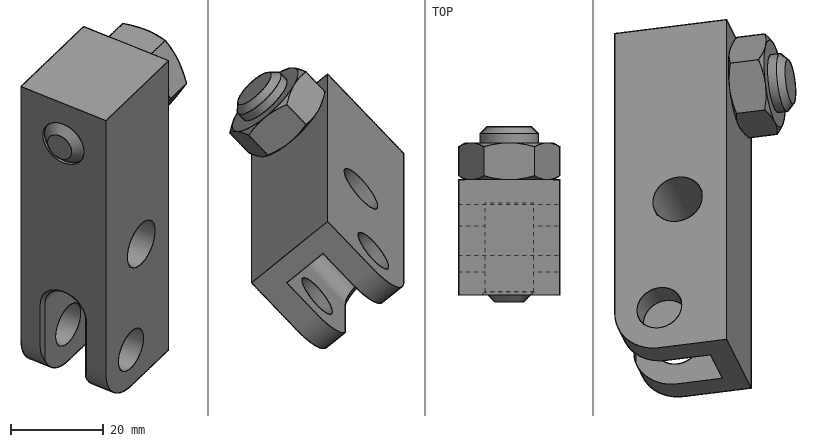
import cadquery as cq
import math

width = 22.0
depth = 25.05
height = 80.0
corner_radius = 10.0

lower_hole_diameter = 10.0
upper_hole_diameter = 11.05
upper_hole_y = 14.1
upper_hole_z = 36.6

slot_width = 10.5
slot_depth = 20.0
slot_center_z = 22.0
slot_bevel = 0.75
slot_bevel_angle = 45

screw_to_top = 11.05
screw_z = height - screw_to_top
screw_diameter = 12.7
screw_front_projection = 1.5
screw_back_projection = 11.5
screw_back_chamfer = 1.5
screw_nose_diameter = 10.65
screw_tip_diameter = 6.25
nose_chamfer = (screw_nose_diameter - screw_tip_diameter) / 2
recess_depth = nose_chamfer - screw_front_projection

nut_thickness = 8.0
nut_angle = math.radians(30)
nut_corner_diameter = width
nut_across_flats = nut_corner_diameter * math.cos(nut_angle)
nut_bevel_width = (nut_corner_diameter - nut_across_flats) / 2
nut_bevel_height = nut_bevel_width * math.tan(nut_angle)


def cylinder_y(diameter, y_start, y_end):
    """Cylinder on the screw axis between two Y positions."""
    axis_start = cq.Vector(0, y_start, screw_z)
    solid = cq.Solid.makeCylinder(diameter / 2, y_end - y_start, axis_start, cq.Vector(0, 1, 0))
    return cq.Workplane(obj=solid)


def cross_hole(diameter, y, z):
    """Cutter for a hole through the full block width."""
    return cq.Workplane("YZ").center(y, z).circle(diameter / 2).extrude(width, both=True)


def slot_outline(half_width):
    """Closed outline of the slot on the front face."""
    return (
        cq.Workplane("XZ")
        .moveTo(-half_width, 0)
        .lineTo(-half_width, slot_center_z)
        .threePointArc((0, slot_center_z + half_width), (half_width, slot_center_z))
        .lineTo(half_width, 0)
        .close()
    )


def make_slot():
    """Slot cutter with a bevel around its mouth."""
    slot = slot_outline(slot_width / 2).extrude(-slot_depth)
    mouth = slot_outline(slot_width / 2 + slot_bevel).extrude(-slot_bevel, taper=slot_bevel_angle)
    return slot.union(mouth)


def make_block():
    block = cq.Workplane("XY").box(width, depth, height, centered=(True, False, False))
    block = block.edges("|X and <Y and <Z").fillet(corner_radius)
    block = block.cut(make_slot())
    block = block.cut(cross_hole(lower_hole_diameter, corner_radius, corner_radius))
    block = block.cut(cross_hole(upper_hole_diameter, upper_hole_y, upper_hole_z))
    return block.cut(cylinder_y(screw_diameter, 0, depth))


def make_screw():
    """Screw body flush with the front face, its conical nose rising from a shallow recess."""
    body = cylinder_y(screw_diameter, 0, depth + screw_back_projection)
    body = body.faces(">Y").chamfer(screw_back_chamfer)
    body = body.cut(cylinder_y(screw_nose_diameter, 0, recess_depth))
    nose = cq.Solid.makeCone(
        screw_tip_diameter / 2,
        screw_nose_diameter / 2,
        nose_chamfer,
        cq.Vector(0, -screw_front_projection, screw_z),
        cq.Vector(0, 1, 0),
    )
    return body.union(cq.Workplane(obj=nose))


def make_nut():
    hexagon = (
        cq.Workplane("XZ", origin=(0, depth, screw_z))
        .polygon(6, nut_corner_diameter)
        .extrude(-nut_thickness)
    )
    envelope = cylinder_y(nut_corner_diameter, depth, depth + nut_thickness)
    envelope = envelope.faces("<Y or >Y").chamfer(nut_bevel_height, nut_bevel_width)
    return hexagon.intersect(envelope)


result = make_block().union(make_screw(), clean=False).union(make_nut(), clean=False)